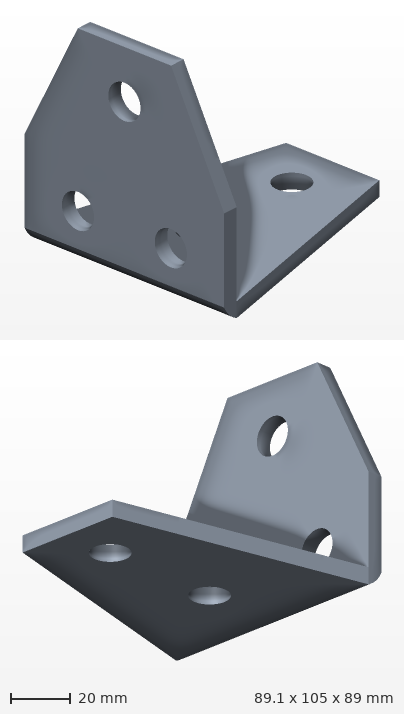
import cadquery as cq

width = 89.1
depth = 105.0
height = 89.0
thickness = 6.3
bend_radius = 2 * thickness

tip_width = 41.7
shoulder_height = 41.6

hole_diameter = 14.4
hole_edge_distance = 20.6
hole_pitch = 47.9
lower_hole_spacing = 41.5

upper_hole_height = height - hole_edge_distance
lower_hole_height = upper_hole_height - hole_pitch
far_hole_depth = depth - hole_edge_distance
near_hole_depth = far_hole_depth - hole_pitch


def upright_plate():
    """Vertical plate at the front, with sloped upper corners and three holes."""
    outline = [
        (-width / 2, 0),
        (width / 2, 0),
        (width / 2, shoulder_height),
        (tip_width / 2, height),
        (-tip_width / 2, height),
        (-width / 2, shoulder_height),
    ]
    holes = [
        (0, upper_hole_height),
        (-lower_hole_spacing / 2, lower_hole_height),
        (lower_hole_spacing / 2, lower_hole_height),
    ]
    plate = cq.Workplane("XZ").polyline(outline).close().extrude(-thickness)
    cutters = cq.Workplane("XZ").pushPoints(holes).circle(hole_diameter / 2).extrude(-thickness)
    return plate.cut(cutters)


def base_plate():
    """Horizontal plate that narrows toward the back, with two holes in line."""
    outline = [
        (-width / 2, thickness),
        (width / 2, thickness),
        (tip_width / 2, depth),
        (-tip_width / 2, depth),
    ]
    holes = [(0, near_hole_depth), (0, far_hole_depth)]
    plate = cq.Workplane("XY").polyline(outline).close().extrude(thickness)
    cutters = cq.Workplane("XY").pushPoints(holes).circle(hole_diameter / 2).extrude(thickness)
    return plate.cut(cutters)


def bend_trim():
    """Waste outside the shallow arc that rounds the outer corner of the bend."""
    return (
        cq.Workplane("YZ")
        .moveTo(0, 0)
        .lineTo(thickness, 0)
        .radiusArc((0, thickness), bend_radius)
        .close()
        .extrude(width / 2, both=True)
    )


result = upright_plate().union(base_plate()).cut(bend_trim())